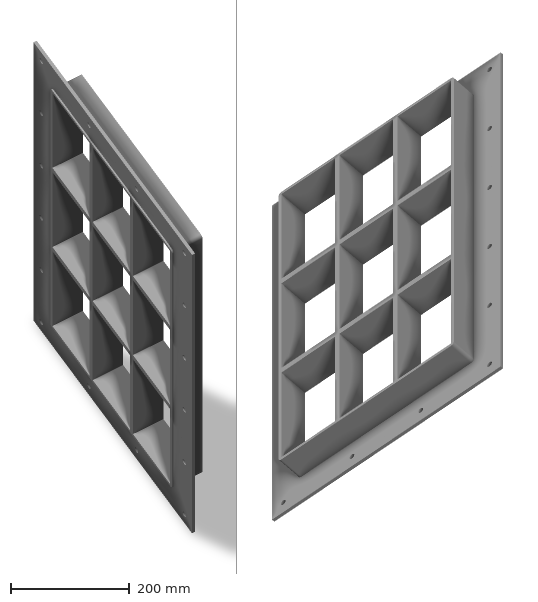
import cadquery as cq

plate_width = 513.5
plate_height = 810.0
plate_thickness = 6.0

flange_margin = 60.0
frame_width = plate_width - 2 * flange_margin
frame_height = plate_height - 2 * flange_margin
frame_depth = 60.0
frame_front_lip = 3.0
frame_wall = 6.0
frame_corner_radius = 6.0

columns = 3
rows = 3
column_bar_thickness = 10.0
row_bar_thickness = 12.0
cell_width = (frame_width - 2 * frame_wall - (columns - 1) * column_bar_thickness) / columns
cell_height = (frame_height - 2 * frame_wall - (rows - 1) * row_bar_thickness) / rows

hole_diameter = 10.5
hole_edge_distance = 25.0
hole_columns = 4
hole_rows = 6
hole_pitch_x = (plate_width - 2 * hole_edge_distance) / (hole_columns - 1)
hole_pitch_z = (plate_height - 2 * hole_edge_distance) / (hole_rows - 1)


def face_at(y):
    """Sketch plane facing -Y at the given depth; a negative extrusion runs toward +Y."""
    return cq.Workplane("XZ", origin=(0, y, 0))


def rim_hole_points():
    """Hole centres on the rim of a rectangular hole grid."""
    points = []
    for column in range(hole_columns):
        for row in range(hole_rows):
            if column in (0, hole_columns - 1) or row in (0, hole_rows - 1):
                x = -plate_width / 2 + hole_edge_distance + column * hole_pitch_x
                z = -plate_height / 2 + hole_edge_distance + row * hole_pitch_z
                points.append((x, z))
    return points


def make_plate():
    """Flange plate with bolt holes, set back from the frame front by the lip."""
    plate = face_at(frame_front_lip).rect(plate_width, plate_height).extrude(-plate_thickness)
    holes = (
        face_at(frame_front_lip)
        .pushPoints(rim_hole_points())
        .circle(hole_diameter / 2)
        .extrude(-plate_thickness)
    )
    return plate.cut(holes)


def make_frame_block():
    """Solid outline of the frame, rounded along its four depth edges."""
    block = face_at(0).rect(frame_width, frame_height).extrude(-frame_depth)
    return block.edges("|Y").fillet(frame_corner_radius)


def make_openings():
    """Rectangular passages between the frame walls and the grid bars."""
    return (
        face_at(0)
        .rarray(cell_width + column_bar_thickness, cell_height + row_bar_thickness, columns, rows)
        .rect(cell_width, cell_height)
        .extrude(-frame_depth)
    )


result = make_plate().union(make_frame_block()).cut(make_openings())